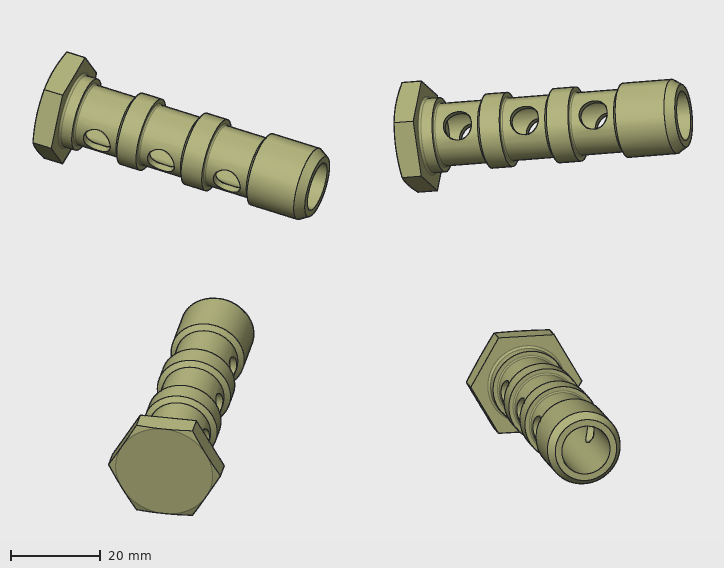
import cadquery as cq
import math

length = 63.9
head_flats = 22.0
head_thickness = 4.9
head_corners = head_flats / math.cos(math.pi / 6)
head_bevel_angle = 15.0

land_diameter = 16.6
neck_diameter = 14.0
flare_size = 0.5
collar_end = 8.0
root_radius = 0.3
land_chamfer_length = 0.75
tip_chamfer_length = 2.1
land_spans = [(18.15, 23.6), (33.75, 39.5)]
end_land_start = 49.7

bore_diameter = 11.0
bore_start = collar_end
cross_hole_diameter = 6.5
cross_hole_positions = [13.5, 29.0, 45.0]

land_radius = land_diameter / 2
neck_radius = neck_diameter / 2


def cylinder_x(diameter, start, end):
    """Solid cylinder on the X axis between two stations."""
    return cq.Workplane("YZ", origin=(start, 0, 0)).circle(diameter / 2).extrude(end - start)


def make_head():
    """Hexagon with the corners of its outer face bevelled by a cone."""
    hexagon = cq.Workplane("YZ").polygon(6, head_corners).extrude(head_thickness)
    face_radius = head_flats / 2
    cone_radius = face_radius + head_thickness / math.tan(math.radians(head_bevel_angle))
    cone = (
        cq.Workplane("XY")
        .polyline([(0, 0), (0, face_radius), (head_thickness, cone_radius), (head_thickness, 0)])
        .close()
        .revolve(360, (0, 0, 0), (1, 0, 0))
    )
    return hexagon.intersect(cone)


def step_down(profile, station):
    """Drop from a land to the neck, ending in a concave root fillet."""
    return (
        profile.lineTo(station, neck_radius + root_radius)
        .radiusArc((station + root_radius, neck_radius), -root_radius)
    )


def step_up(profile, station):
    """Follow the neck to a land, then rise to it along a steep chamfer."""
    return (
        profile.lineTo(station, neck_radius)
        .lineTo(station + land_chamfer_length, land_radius)
    )


def make_shank():
    """Revolve the stepped outline from the head to the tip."""
    profile = (
        cq.Workplane("XY")
        .moveTo(head_thickness, 0)
        .lineTo(head_thickness, land_radius + flare_size)
        .radiusArc((head_thickness + flare_size, land_radius), -flare_size)
        .lineTo(collar_end, land_radius)
    )
    profile = step_down(profile, collar_end)
    for start, end in land_spans:
        profile = step_up(profile, start).lineTo(end, land_radius)
        profile = step_down(profile, end)
    profile = (
        step_up(profile, end_land_start)
        .lineTo(length - tip_chamfer_length, land_radius)
        .lineTo(length, neck_radius)
        .lineTo(length, 0)
        .close()
    )
    return profile.revolve(360, (0, 0, 0), (1, 0, 0))


def make_cross_holes():
    """Round cutters running through the shank along Y."""
    return (
        cq.Workplane("XZ")
        .pushPoints([(x, 0) for x in cross_hole_positions])
        .circle(cross_hole_diameter / 2)
        .extrude(land_diameter, both=True)
    )


bore = cylinder_x(bore_diameter, bore_start, length)
result = make_head().union(make_shank()).cut(bore).cut(make_cross_holes())